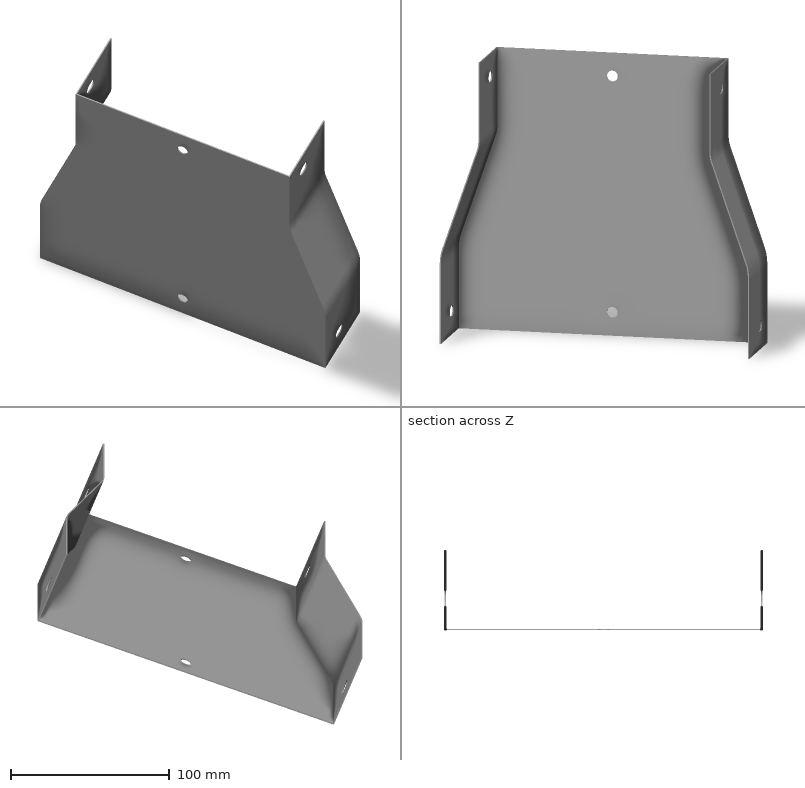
import cadquery as cq
import math

wide_width = 200.0
narrow_width = 150.0
depth = 50.0
height = 182.0
sheet = 0.8

lower_straight = 51.5
upper_straight = 50.0
lower_bend_radius = 30.0
upper_bend_radius = 20.0

center_offset_x = (narrow_width - wide_width) / 2 + lower_bend_radius + upper_bend_radius
center_offset_z = height - upper_straight - lower_straight
center_distance = math.hypot(center_offset_x, center_offset_z)
slope_angle = (
    math.asin((lower_bend_radius + upper_bend_radius) / center_distance)
    - math.atan2(center_offset_x, center_offset_z)
)

hole_diameter = 7.0
slot_length = 10.0
hole_end_distance = 15.0
slot_from_front = 20.0
hole_heights = (hole_end_distance, height - hole_end_distance)


def wall_side(inset):
    """Right-hand wall points, bottom to top, moved inward from the outer face by inset."""
    lower_radius = lower_bend_radius - inset
    upper_radius = upper_bend_radius + inset
    lower_center = (wide_width / 2 - lower_bend_radius, lower_straight)
    upper_center = (narrow_width / 2 + upper_bend_radius, height - upper_straight)

    def lower_arc(angle):
        return (lower_center[0] + lower_radius * math.cos(angle),
                lower_center[1] + lower_radius * math.sin(angle))

    def upper_arc(angle):
        return (upper_center[0] - upper_radius * math.cos(angle),
                upper_center[1] - upper_radius * math.sin(angle))

    return [
        (wide_width / 2 - inset, 0),
        lower_arc(0),
        lower_arc(slope_angle / 2),
        lower_arc(slope_angle),
        upper_arc(slope_angle),
        upper_arc(slope_angle / 2),
        upper_arc(0),
        (narrow_width / 2 - inset, height),
    ]


def tapered_block(inset, front, back):
    """Solid with the tapered outline, extruded along Y from front to back."""
    right = wall_side(inset)
    left = [(-x, z) for x, z in reversed(right)]
    outline = cq.Workplane("XZ", origin=(0, front, 0)).moveTo(*right[0])
    for side in (right, left):
        outline = (
            outline.lineTo(*side[1])
            .threePointArc(side[2], side[3])
            .lineTo(*side[4])
            .threePointArc(side[5], side[6])
            .lineTo(*side[7])
        )
        if side is right:
            outline = outline.lineTo(*left[0])
    return outline.close().extrude(front - back)


result = tapered_block(0, 0, depth).cut(tapered_block(sheet, sheet, depth))

for z in hole_heights:
    hole = cq.Workplane("XZ", origin=(0, 0, z)).circle(hole_diameter / 2).extrude(-sheet)
    result = result.cut(hole)

for z in hole_heights:
    slot = (
        cq.Workplane("YZ", origin=(0, slot_from_front, z))
        .slot2D(slot_length, hole_diameter)
        .extrude(wide_width / 2, both=True)
    )
    result = result.cut(slot)